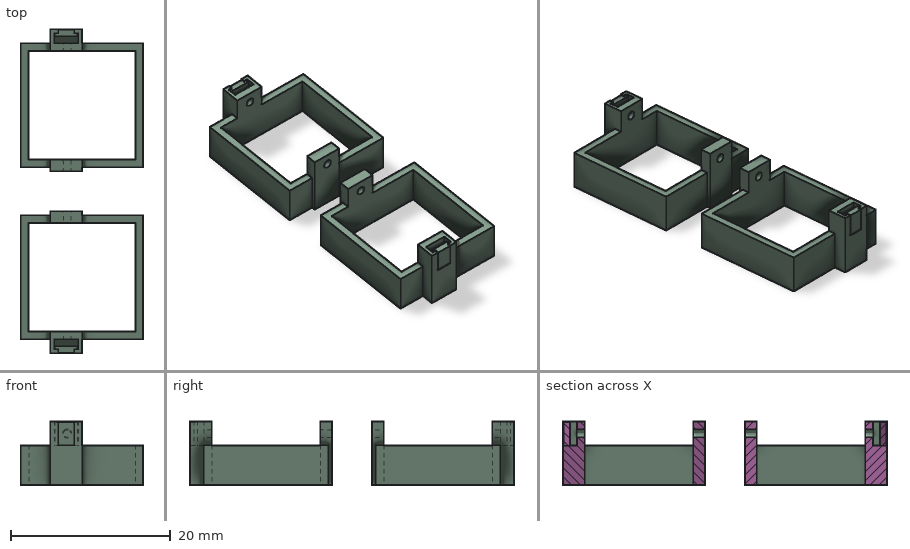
import cadquery as cq

frame_width = 15.35
overall_length = 40.62
frame_gap = 5.0
frame_height = 5.0
lug_height = 8.0
wall = 1.0

lug_width = 4.0
lug_offset = 3.675
holder_projection = 1.75
plain_projection = 0.5
lug_center = -frame_width / 2 + lug_offset + lug_width / 2

assembly_length = (overall_length - frame_gap) / 2
plain_lug_face = frame_gap / 2
frame_near = plain_lug_face + plain_projection
holder_face = plain_lug_face + assembly_length
frame_far = holder_face - holder_projection

slot_width = 3.0
slot_depth = 1.25
lip_thickness = 0.5
window_width = 2.0
slot_floor = frame_height

side_clearance = 0.1
top_clearance = 0.1
face_clearance = 0.05
flange_thickness = 0.4

hole_radius = 0.475
hole_height = 6.5
hole_shift = 0.1
hole_center = lug_center + hole_shift
countersink_radius = 0.55
countersink_depth = 0.3


def block(width, y_start, y_end, z_bottom, z_top, x_center=lug_center):
    """Box centred on x_center, spanning the given Y and Z ranges."""
    return (
        cq.Workplane("XY", origin=(x_center, (y_start + y_end) / 2, z_bottom))
        .box(width, y_end - y_start, z_top - z_bottom, centered=(True, True, False))
    )


def round_cutter(start_radius, end_radius, y_start, y_end):
    """Round cutter along Y on the hole axis; equal radii give a straight cylinder."""
    return (
        cq.Workplane("XZ", origin=(hole_center, y_start, hole_height))
        .circle(start_radius)
        .workplane(offset=y_start - y_end)
        .circle(end_radius)
        .loft(ruled=True)
    )


def make_frame():
    """Rectangular frame with a plain lug facing the gap and a slotted lug opposite."""
    ring = block(frame_width, frame_near, frame_far, 0, frame_height, 0)
    opening = block(frame_width - 2 * wall, frame_near + wall, frame_far - wall, 0, frame_height, 0)
    plain_lug = block(lug_width, plain_lug_face, frame_near + wall, 0, lug_height)
    holder_lug = block(lug_width, frame_far - wall, holder_face, 0, lug_height)

    lip_back = holder_face - lip_thickness
    pocket = block(slot_width, lip_back - slot_depth, lip_back, slot_floor, lug_height)
    window = block(window_width, lip_back, holder_face, slot_floor, lug_height)

    body = ring.cut(opening).union(plain_lug).union(holder_lug).cut(pocket).cut(window)

    body = body.cut(round_cutter(hole_radius, hole_radius, plain_lug_face, lip_back - slot_depth))

    near_faces = (plain_lug_face, frame_far - wall)
    for face in near_faces:
        body = body.cut(round_cutter(countersink_radius, hole_radius, face, face + countersink_depth))
    inner_face = frame_near + wall
    return body.cut(
        round_cutter(hole_radius, countersink_radius, inner_face - countersink_depth, inner_face)
    )


def make_slider():
    """T-shaped slider: a flange behind the lips and a stem filling the window."""
    lip_back = holder_face - lip_thickness
    slider_top = lug_height - top_clearance
    flange_width = slot_width - 2 * side_clearance
    flange = block(flange_width, lip_back - flange_thickness, lip_back, slot_floor, slider_top)
    stem = block(window_width, lip_back, holder_face - face_clearance, slot_floor, slider_top)
    return flange.union(stem)


bodies = []
for make_body in (make_frame, make_slider):
    body = make_body()
    bodies.append(body.val())
    bodies.append(body.mirror("XZ").val())

result = cq.Compound.makeCompound(bodies)